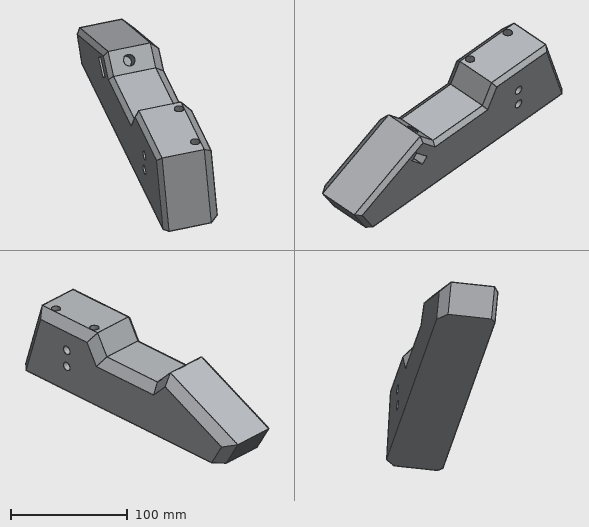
import cadquery as cq
import math

length = 254.2
width = 50.0
height = 66.0

nose_foot_x = 14.0
nose_tip_z = 24.1
ridge_x = 80.8
ridge_z = 62.3
valley_z = 46.8
valley_left_x = ridge_x + (ridge_z - valley_z)
valley_right_x = 156.8
head_left_x = 168.0
head_right_x = 234.4

front_chamfer = 4.0
back_chamfer = 2 * front_chamfer

small_hole_diameter = 8.0
cross_hole_x = 197.0
cross_hole_z = 24.1
cross_hole_spacing = 16.0

top_hole_x = 176.1
top_hole_spacing = 46.0
top_hole_y = 37.5
top_hole_depth = 20.0

bolt_hole_diameter = 10.0
bolt_hole_y = 20.5
nut_slot_length = 17.8
nut_slot_thickness = 8.0
nut_slot_distance = 18.0
nut_slot_depth = bolt_hole_y + nut_slot_length / 2


def make_body():
    """Extrude the side outline from the front (Y = 0) to the back."""
    outline = [
        (nose_foot_x, 0),
        (length, 0),
        (head_right_x, height),
        (head_left_x, height),
        (valley_right_x, valley_z),
        (valley_left_x, valley_z),
        (ridge_x, ridge_z),
        (0, nose_tip_z),
    ]
    return cq.Workplane("XZ").polyline(outline).close().extrude(-width)


def chamfer_side(body, side, size):
    """Chamfer the outline of one side face, leaving its bottom edge sharp."""
    bottom_edge = cq.selectors.DirectionMinMaxSelector(cq.Vector(0, 0, 1), False)
    all_but_bottom = cq.selectors.InverseSelector(bottom_edge)
    return body.faces(side).edges(all_but_bottom).chamfer(size)


def make_cross_holes():
    """Two cylinders that run through the full width."""
    centers = [(cross_hole_x, cross_hole_z + i * cross_hole_spacing) for i in range(2)]
    return cq.Workplane("XZ").pushPoints(centers).circle(small_hole_diameter / 2).extrude(-width)


def make_top_holes():
    """Two cylinders that run down from the top of the head."""
    centers = [(top_hole_x + i * top_hole_spacing, top_hole_y) for i in range(2)]
    top = cq.Workplane("XY", origin=(0, 0, height))
    return top.pushPoints(centers).circle(small_hole_diameter / 2).extrude(-top_hole_depth)


def make_bolt_hole_and_nut_slot():
    """A cylinder into the middle of the 45 degree face, ending in a nut slot across it."""
    mouth_x = (ridge_x + valley_left_x) / 2
    mouth_z = (ridge_z + valley_z) / 2
    mouth = cq.Plane(
        origin=(mouth_x, bolt_hole_y, mouth_z),
        xDir=(0, 1, 0),
        normal=(-1, 0, -1),
    )
    hole_depth = nut_slot_distance + nut_slot_thickness / 2
    hole = cq.Workplane(mouth).circle(bolt_hole_diameter / 2).extrude(hole_depth)

    slot_shift = nut_slot_distance / math.sqrt(2)
    slot_center = (mouth_x - slot_shift, mouth_z - slot_shift)
    slot = (
        cq.Workplane("XZ")
        .center(*slot_center)
        .transformed(rotate=(0, 0, -45))
        .rect(nut_slot_length, nut_slot_thickness)
        .extrude(-nut_slot_depth)
    )
    return hole.union(slot)


result = make_body()
result = chamfer_side(result, "<Y", front_chamfer)
result = chamfer_side(result, ">Y", back_chamfer)
result = result.cut(make_cross_holes())
result = result.cut(make_top_holes())
result = result.cut(make_bolt_hole_and_nut_slot())